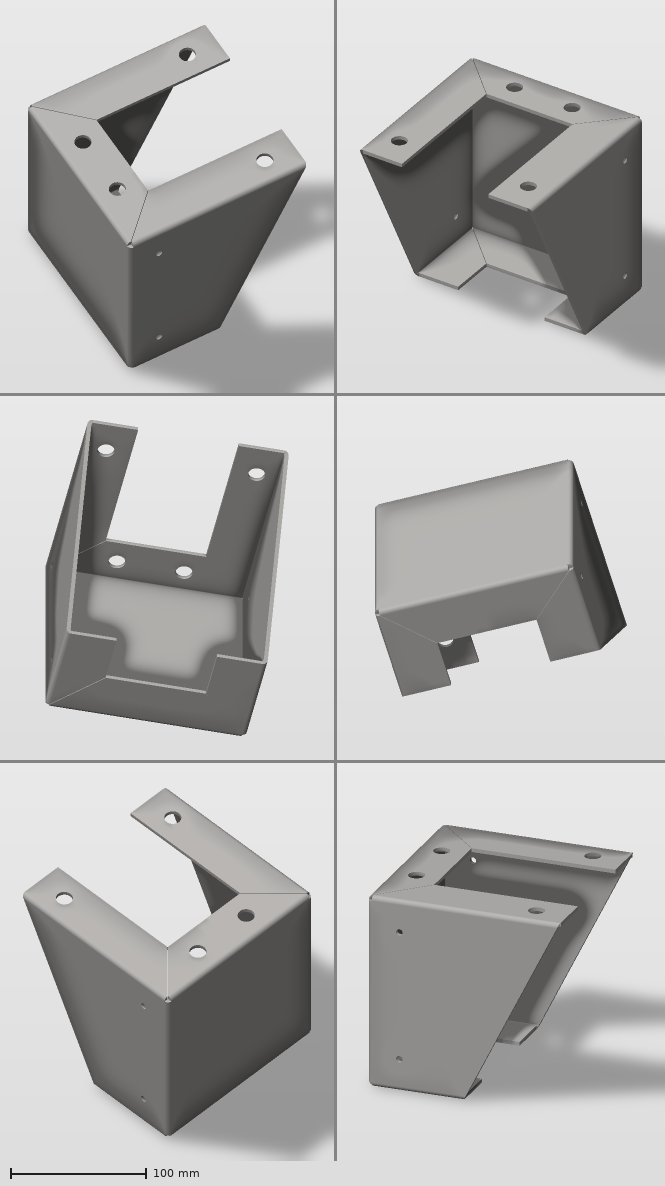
import cadquery as cq
import math

size = 152.4
sheet = 3.0
bend_radius = 3.5
flange_width = 38.1
base_depth = 76.2
slit_width = 0.5
flange_hole_diameter = 12.6
wall_hole_diameter = 5.0
flange_hole_inset = 19.2

inner_radius = bend_radius - sheet
flat_length = size - 2 * bend_radius
end_hole_inset = size / 6
front_hole_positions = (size / 3, size * 2 / 3)


def ring_point(radius, angle):
    """Point of a bend arc whose centre lies one bend radius from both outer faces."""
    return (
        bend_radius + radius * math.cos(math.radians(angle)),
        bend_radius + radius * math.sin(math.radians(angle)),
    )


def corner_bend(plane):
    """Quarter-ring section of the bend at the origin corner of the given plane."""
    return (
        cq.Workplane(plane)
        .moveTo(*ring_point(bend_radius, 180))
        .threePointArc(ring_point(bend_radius, 225), ring_point(bend_radius, 270))
        .lineTo(*ring_point(inner_radius, 270))
        .threePointArc(ring_point(inner_radius, 225), ring_point(inner_radius, 180))
        .close()
    )


def box(x_range, y_range, z_range):
    """Axis-aligned block between the given limits."""
    lengths = [limits[1] - limits[0] for limits in (x_range, y_range, z_range)]
    return (
        cq.Workplane("XY")
        .box(*lengths, centered=False)
        .translate((x_range[0], y_range[0], z_range[0]))
    )


def mirrored_in_x(body):
    """Copy of the body on the opposite side of the bracket."""
    return body.mirror("YZ", (size / 2, 0, 0))


def mirrored_in_z(body):
    """Copy of the body at the opposite end of the height."""
    return body.mirror("XY", (0, 0, size / 2))


flat = (bend_radius, size - bend_radius)
flange = (bend_radius, flange_width)
skin = (0, sheet)


def front_panel():
    """Front wall with its upper and lower bends and flanges."""
    wall = box(flat, skin, flat)
    bend = corner_bend("YZ").extrude(flat_length).translate((bend_radius, 0, 0))
    lip = bend.union(box(flat, flange, skin))
    return wall.union(lip).union(mirrored_in_z(lip))


def behind_slope():
    """Space behind the sloping rear edge of the side walls."""
    return (
        cq.Workplane("YZ")
        .polyline([(base_depth, 0), (size, size), (2 * size, size), (2 * size, 0)])
        .close()
        .extrude(bend_radius)
    )


def side_panel():
    """Side wall at x = 0, with its bends and flanges, cut to the sloping rear edge."""
    depth = (bend_radius, size)
    bend = corner_bend("XZ").extrude(bend_radius - size).translate((0, bend_radius, 0))
    wall = box(skin, depth, flat).union(bend).union(mirrored_in_z(bend)).cut(behind_slope())
    lower_flange = box(flange, (bend_radius, base_depth), skin)
    upper_flange = box(flange, depth, (size - sheet, size))
    return wall.union(lower_flange).union(upper_flange)


def upright_bend():
    """Vertical bend between the front wall and the side wall at x = 0."""
    return corner_bend("XY").extrude(flat_length).translate((0, 0, bend_radius))


def miter_slit():
    """Straight 45 degree gap between front and side flanges, at both flange levels."""
    slit = (
        cq.Workplane("XY")
        .box(flange_width * math.sqrt(2), slit_width, sheet, centered=(False, True, False))
        .rotate((0, 0, 0), (0, 0, 1), 45)
    )
    return slit.union(mirrored_in_z(slit))


def flange_holes():
    """Drills for the four mounting holes in the upper flanges."""
    rear_y = size - end_hole_inset
    centres = [(x, flange_hole_inset) for x in front_hole_positions]
    centres += [(flange_hole_inset, rear_y), (size - flange_hole_inset, rear_y)]
    return (
        cq.Workplane("XY", origin=(0, 0, size - sheet))
        .pushPoints(centres)
        .circle(flange_hole_diameter / 2)
        .extrude(sheet)
    )


def wall_holes():
    """Drills for the two small holes that pass through both side walls."""
    return (
        cq.Workplane("YZ")
        .pushPoints([(end_hole_inset, end_hole_inset), (end_hole_inset, size - end_hole_inset)])
        .circle(wall_hole_diameter / 2)
        .extrude(size)
    )


side = side_panel().union(upright_bend())
bracket = front_panel().union(side).union(mirrored_in_x(side))
slit = miter_slit()
bracket = bracket.cut(slit).cut(mirrored_in_x(slit))
result = bracket.cut(flange_holes()).cut(wall_holes())